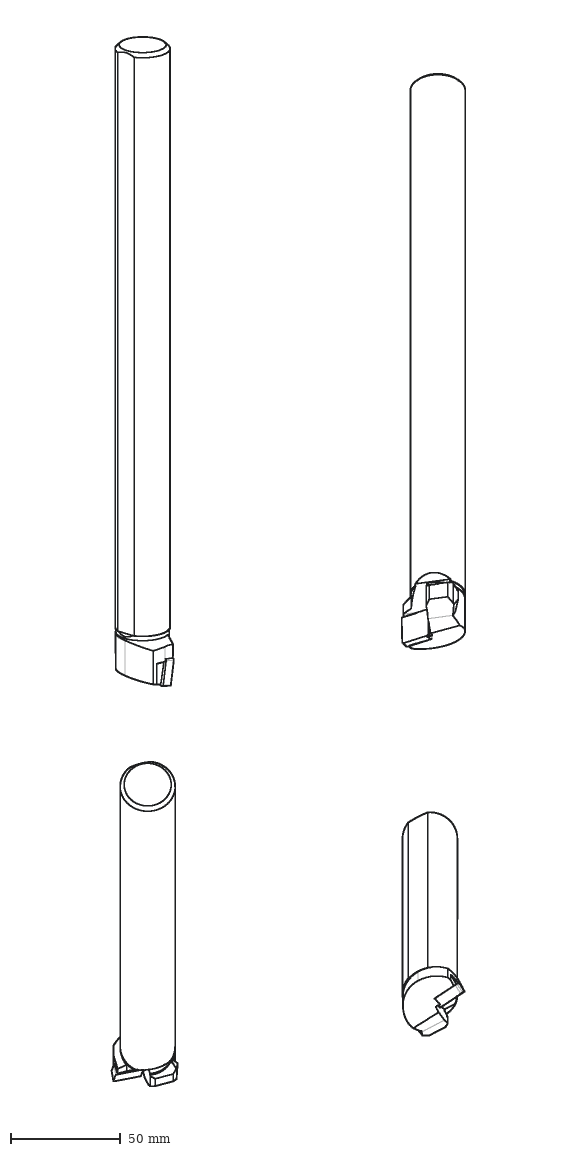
import cadquery as cq
import math

TOTAL_LENGTH = 306.0
OVERSIZE = 61.2
CUT_OVERRUN = 3.0

SHANK_RADIUS = 12.5
SHANK_CHAMFER = 1.8
SHANK_END_Z = 24.8
FLAT_WIDTH = 10.0
FLAT_Y = -math.sqrt(SHANK_RADIUS**2 - (FLAT_WIDTH / 2) ** 2)
FLAT_RUNOUT_Z = 22.0
FLAT_RUNOUT_MARGIN = 0.3

HEAD_LEFT = (-SHANK_RADIUS, 1.2)
HEAD_FRONT = (0.5, -13.0)
HEAD_RIGHT = (13.8, -8.3)
HEAD_SIDE_X = 15.3
HEAD_SIDE_START = (HEAD_SIDE_X, -2.0)
HEAD_SIDE_END = (HEAD_SIDE_X, 3.7)
HEAD_REAR = (-9.0, 9.2)
LEFT_ARC_MIDDLE = (-8.3, -9.2)
FRONT_ARC_MIDDLE = (7.3, -12.0)
SIDE_ARC_MIDDLE = (14.7, -5.5)
REAR_ARC_MIDDLE = (-11.3, 5.5)
NECK_RADIUS = 12.2
SHOULDER_TOP_Z = 22.5
SHOULDER_ANGLE = 45.0

HUMP_BACK_Y = 14.0
HUMP_SIDE_X = -11.5
HUMP_ROOT_Y = 6.0
HUMP_TOP_Z = 23.3
HUMP_EDGE_TOP_Z = 20.8
HUMP_EDGE_LOW_Z = 13.0
HUMP_SIDE_DROP = 1.8
HUMP_FOOT_Z = 4.5
HUMP_ROOT_LEFT = (-7.0, HUMP_ROOT_Y)
HUMP_SIDE_FOOT = (HUMP_SIDE_X, 8.5)
HUMP_CORNER = (-10.0, 12.2)
HUMP_BACK_LEFT = (-8.0, HUMP_BACK_Y)
HUMP_BACK_RIGHT = (0.5, HUMP_BACK_Y)
HUMP_FLUTE_Y = 12.5
NECK_BACK_Y = 9.5
NECK_TOP_Z = 25.7
NECK_RUNOUT_Z = 28.5

SLOPE_START_Y = 0.0
SLOPE_LOW = (3.0, 0.5)
SLOPE_MIDDLE = (9.2, 5.8)

INSERT_CORNER_ANGLE = 80.0
INSERT_EDGE = 13.0
INSERT_THICKNESS = 5.0
NOSE_RADIUS = 0.8
NOSE_X = 16.5
NOSE_Y = 1.0
LEAD_ANGLE = 3.0
TILT_ABOUT_X = -12.0
TILT_ABOUT_Z = -6.0

RAKE_CLEARANCE = 0.3
FLUTE_WALL_X = 2.5
FLUTE_BEND = (3.7, 14.0)
RELIEF_X = 14.5
RELIEF_TOP_Z = 12.2
END_CLEARANCE_Z = 0.3
END_CLEARANCE_ANGLE = 6.0


def prism_along_x(outline, x_start=-OVERSIZE, x_end=OVERSIZE):
    """Prism along X from a closed outline of (y, z) points."""
    return cq.Workplane("YZ").workplane(offset=x_start).polyline(outline).close().extrude(x_end - x_start)


def edge_direction(angle):
    """Unit vector at an angle in degrees from the first axis of a workplane."""
    return cq.Vector(math.cos(math.radians(angle)), math.sin(math.radians(angle)))


def make_insert():
    """Rhombic plate built around its nose centre, then tilted and moved to the cutting corner."""
    side_angle = 90 + LEAD_ANGLE
    side_edge = edge_direction(side_angle) * INSERT_EDGE
    end_edge = edge_direction(side_angle + INSERT_CORNER_ANGLE) * INSERT_EDGE
    half_angle = INSERT_CORNER_ANGLE / 2
    corner = edge_direction(side_angle + half_angle) * (-NOSE_RADIUS / math.sin(math.radians(half_angle)))
    corners = [corner, corner + side_edge, corner + side_edge + end_edge, corner + end_edge]
    plate = cq.Workplane("XZ").polyline([(c.x, c.y) for c in corners]).close().extrude(INSERT_THICKNESS)
    plate = plate.edges("|Y").fillet(NOSE_RADIUS)
    tilted = plate.rotate((0, 0, 0), (1, 0, 0), TILT_ABOUT_X).rotate((0, 0, 0), (0, 0, 1), TILT_ABOUT_Z)
    nose_centre_z = NOSE_RADIUS * math.cos(math.radians(TILT_ABOUT_X))
    return tilted.translate((NOSE_X - NOSE_RADIUS, NOSE_Y, nose_centre_z))


def make_shank():
    """Round bar above the head, chamfered at its far end."""
    return (
        cq.Workplane("XY", origin=(0, 0, SHANK_END_Z))
        .circle(SHANK_RADIUS)
        .extrude(TOTAL_LENGTH - SHANK_END_Z)
        .faces(">Z")
        .chamfer(SHANK_CHAMFER)
    )


def make_neck():
    """Core of the head, slightly slimmer than the shank and bare just below it."""
    return cq.Workplane("XY").circle(NECK_RADIUS).extrude(SHANK_END_Z)


def make_flat_cut():
    """Flat along the shank that runs out down to the front of the head."""
    front_y = HEAD_FRONT[1] - FLAT_RUNOUT_MARGIN
    outline = [
        (FLAT_Y, TOTAL_LENGTH),
        (FLAT_Y, SHANK_END_Z),
        (front_y, FLAT_RUNOUT_Z),
        (-OVERSIZE, FLAT_RUNOUT_Z),
        (-OVERSIZE, TOTAL_LENGTH),
    ]
    return prism_along_x(outline)


def make_head():
    """Column wider than the shank, narrowed by a conical shoulder at its top."""
    column = (
        cq.Workplane("XY")
        .moveTo(*HEAD_REAR)
        .threePointArc(REAR_ARC_MIDDLE, HEAD_LEFT)
        .threePointArc(LEFT_ARC_MIDDLE, HEAD_FRONT)
        .threePointArc(FRONT_ARC_MIDDLE, HEAD_RIGHT)
        .threePointArc(SIDE_ARC_MIDDLE, HEAD_SIDE_START)
        .lineTo(*HEAD_SIDE_END)
        .close()
        .extrude(SHOULDER_TOP_Z)
    )
    foot_radius = NECK_RADIUS + SHOULDER_TOP_Z * math.tan(math.radians(SHOULDER_ANGLE))
    shoulder = (
        cq.Workplane("XZ")
        .polyline([(0, 0), (foot_radius, 0), (NECK_RADIUS, SHOULDER_TOP_Z), (0, SHOULDER_TOP_Z)])
        .close()
        .revolve(360, (0, 0, 0), (0, 1, 0))
    )
    return column.intersect(shoulder)


def make_hump():
    """Block on the rear of the head, sloped at its top and bottom towards -X and +Y."""
    plan = [
        HUMP_ROOT_LEFT,
        HUMP_SIDE_FOOT,
        HUMP_CORNER,
        HUMP_BACK_LEFT,
        HUMP_BACK_RIGHT,
        (FLUTE_WALL_X, HUMP_FLUTE_Y),
        (FLUTE_WALL_X, HUMP_ROOT_Y),
    ]
    rear_slopes = [
        (0, HUMP_TOP_Z),
        (NECK_BACK_Y, HUMP_TOP_Z),
        (HUMP_BACK_Y, HUMP_EDGE_TOP_Z),
        (HUMP_BACK_Y, 0),
        (0, 0),
    ]
    side_slopes = [
        (OVERSIZE, HUMP_TOP_Z),
        (HEAD_REAR[0], HUMP_TOP_Z),
        (HUMP_SIDE_X, HUMP_EDGE_TOP_Z - HUMP_SIDE_DROP),
        (HUMP_SIDE_X, HUMP_EDGE_LOW_Z + HUMP_SIDE_DROP),
        (HEAD_REAR[0], HUMP_FOOT_Z),
        (OVERSIZE, HUMP_FOOT_Z),
    ]
    column = cq.Workplane("XY").polyline(plan).close().extrude(HUMP_TOP_Z)
    side_limit = cq.Workplane("XZ").polyline(side_slopes).close().extrude(OVERSIZE, both=True)
    return column.intersect(prism_along_x(rear_slopes)).intersect(side_limit)


def make_neck_cut():
    """Flat-bottomed cut across the rear of the bar above the hump."""
    outline = [
        (OVERSIZE, HUMP_TOP_Z),
        (NECK_BACK_Y, HUMP_TOP_Z),
        (NECK_BACK_Y, NECK_TOP_Z),
        (SHANK_RADIUS, NECK_RUNOUT_Z),
        (OVERSIZE, NECK_RUNOUT_Z),
    ]
    return prism_along_x(outline)


def make_rear_slope_cut():
    """Slope that lifts the rear of the head away from the cutting end."""
    outline = [
        (SLOPE_START_Y, -CUT_OVERRUN),
        SLOPE_LOW,
        SLOPE_MIDDLE,
        (HUMP_BACK_Y, HUMP_EDGE_LOW_Z),
        (OVERSIZE, HUMP_EDGE_LOW_Z),
        (OVERSIZE, -CUT_OVERRUN),
    ]
    return prism_along_x(outline)


def make_flute_cut():
    """Chip flute in front of the insert's rake face, sloping out to the neck."""
    outline = [
        (NOSE_Y - RAKE_CLEARANCE, -CUT_OVERRUN),
        (NOSE_Y - RAKE_CLEARANCE, 0),
        FLUTE_BEND,
        (NECK_BACK_Y, NECK_TOP_Z),
        (OVERSIZE, NECK_TOP_Z),
        (OVERSIZE, -CUT_OVERRUN),
    ]
    return prism_along_x(outline, FLUTE_WALL_X)


def make_end_clearance_cut():
    """Everything below the inclined end face of the head."""
    width = 2 * OVERSIZE
    block = cq.Workplane("XY").box(width, width, OVERSIZE, centered=(True, True, False))
    block = block.translate((0, 0, -OVERSIZE)).rotate((0, 0, 0), (0, 1, 0), END_CLEARANCE_ANGLE)
    return block.rotate((0, 0, 0), (1, 0, 0), TILT_ABOUT_X).translate((NOSE_X, NOSE_Y, END_CLEARANCE_Z))


def make_side_relief_cut():
    """Step on the +X side of the head that leaves the insert standing proud."""
    return (
        cq.Workplane("XY")
        .box(OVERSIZE, OVERSIZE, RELIEF_TOP_Z, centered=(False, True, False))
        .translate((RELIEF_X, 0, 0))
    )


insert = make_insert()

bar = make_shank().union(make_neck()).union(make_head()).union(make_hump())
bar = bar.cut(make_flat_cut())
bar = bar.cut(make_neck_cut())
bar = bar.cut(make_rear_slope_cut())
bar = bar.cut(make_flute_cut())
bar = bar.cut(make_end_clearance_cut())
bar = bar.cut(make_side_relief_cut())
bar = bar.cut(insert)

result = cq.Compound.makeCompound([bar.solids().val(), insert.val()])